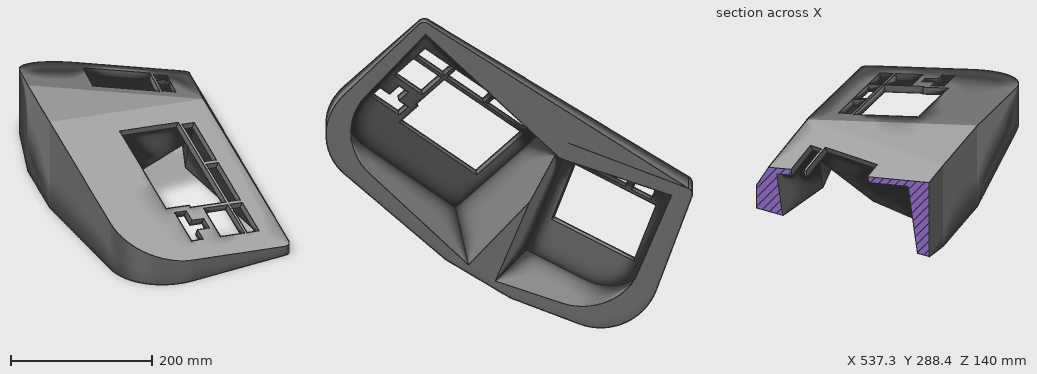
import cadquery as cq
import math


APEX = cq.Vector(57.0, 243.5, 108.0)
LEFT_FOLD = cq.Vector(0, 0.5, 140.0)
RIGHT_FOLD = cq.Vector(108.5, 0, 140.0)

PANEL_DEPTH = 251.5
LEFT_WIDTH = 202.0
RIGHT_WIDTH = 294.5
LEFT_ROLL = 18.8
RIGHT_ROLL = 18.9
FRONT_RADIUS = 90.0
BACK_RADIUS = 9.5

PLATE = 10.0
WALL = 12.0
FRONT_WALL = 35.0
FOLD_WALL = 17.0

DROP = 322.0
GROUND_SIZE = 2148.0

LEFT = -1
RIGHT = 1

SCREEN_BOTTOM = 96.5
SCREEN_TOP = 192.0
SLOT_BOTTOM = 196.5
SLOT_TOP = 216.0

LEFT_SCREEN = (34.5, 166.5)
LEFT_SLOTS = [(39.0, 115.0), (124.5, 157.0)]

RIGHT_SCREEN = (35.5, 196.0)
SCREEN_STEP = 4.5
SCREEN_STEP_TOP = 134.0
KEY_COLUMN = (201.5, 258.5)
RIGHT_SLOTS = [(40.5, 115.5), (121.0, 196.0), KEY_COLUMN]
KEYPAD_BOTTOM = 153.0
ARROW_BOTTOM = 106.0
ARROW_MIDDLE = 124.5
ARROW_TOP = 144.0
ARROW_STEM_WIDTH = 19.0

WINDOW_DEPTH = 1.05 * PLATE


def panel_plane(fold, side, roll):
    """Plane at the front fold corner: X points right, Y runs along the fold."""
    along = (APEX - fold).normalized()
    level = along.cross(cq.Vector(0, 0, 1)).normalized()
    up = level.cross(along)
    angle = math.radians(side * roll)
    across = level * math.cos(angle) - up * math.sin(angle)
    return cq.Plane(origin=fold, xDir=across, normal=across.cross(along))


def arc_inset(radius):
    """Distance from a square corner's sides to the middle of its rounding arc."""
    return radius * (1 - math.sqrt(0.5))


def drop_down(wire):
    """Solid swept straight down from a closed outline."""
    return cq.Workplane(cq.Solid.extrudeLinear(wire, [], cq.Vector(0, 0, -DROP)))


def prism(*corners):
    """Solid swept straight down from a polygon."""
    return drop_down(cq.Wire.makePolygon(corners, close=True))


def rounded_front(workplane, side, near, front, far, radius):
    """Start an outline: front edge from the fold outward, then the large corner."""
    mid = arc_inset(radius)
    return (
        workplane.moveTo(side * near, front)
        .lineTo(side * (far - radius), front)
        .threePointArc((side * (far - mid), front + mid), (side * far, front + radius))
    )


def panel_block(plane, side, width):
    """Panel outline with its rounded corners, swept down to form the skirt."""
    mid = arc_inset(BACK_RADIUS)
    outline = (
        rounded_front(cq.Workplane(plane), side, 0, 0, width, FRONT_RADIUS)
        .lineTo(side * width, PANEL_DEPTH - BACK_RADIUS)
        .threePointArc(
            (side * (width - mid), PANEL_DEPTH - mid),
            (side * (width - BACK_RADIUS), PANEL_DEPTH),
        )
        .lineTo(0, PANEL_DEPTH)
        .close()
    )
    return drop_down(outline.val())


def chamber(plane, side, width):
    """Hollow below a panel's plate, with walls square to the panel."""
    far = width - WALL
    back = PANEL_DEPTH - WALL
    underside = cq.Workplane(plane).workplane(offset=-PLATE)
    return (
        rounded_front(underside, side, FOLD_WALL, FRONT_WALL, far, FRONT_RADIUS - WALL)
        .lineTo(side * far, back)
        .lineTo(side * FOLD_WALL, back)
        .close()
        .extrude(-DROP)
    )


def window(plane, side, span, bottom, top):
    """Rectangular opening through the plate; span is measured outward from the fold."""
    near, far = span
    return (
        cq.Workplane(plane)
        .center(side * (near + far) / 2, (bottom + top) / 2)
        .rect(far - near, top - bottom)
        .extrude(-WINDOW_DEPTH)
    )


left = panel_plane(LEFT_FOLD, LEFT, LEFT_ROLL)
right = panel_plane(RIGHT_FOLD, RIGHT, RIGHT_ROLL)

left_back = left.toWorldCoords((LEFT * (LEFT_WIDTH - BACK_RADIUS), PANEL_DEPTH))
right_back = right.toWorldCoords((RIGHT * (RIGHT_WIDTH - BACK_RADIUS), PANEL_DEPTH))
body = (
    panel_block(left, LEFT, LEFT_WIDTH)
    .union(panel_block(right, RIGHT, RIGHT_WIDTH))
    .union(prism(LEFT_FOLD, RIGHT_FOLD, APEX))
    .union(prism(left_back, APEX, right_back))
)

cavity = chamber(left, LEFT, LEFT_WIDTH).union(chamber(right, RIGHT, RIGHT_WIDTH))

windows = [window(left, LEFT, LEFT_SCREEN, SCREEN_BOTTOM, SCREEN_TOP)]
for slot in LEFT_SLOTS:
    windows.append(window(left, LEFT, slot, SLOT_BOTTOM, SLOT_TOP))

for slot in RIGHT_SLOTS:
    windows.append(window(right, RIGHT, slot, SLOT_BOTTOM, SLOT_TOP))
screen_near, screen_far = RIGHT_SCREEN
narrow_screen = (screen_near, screen_far - SCREEN_STEP)
windows.append(window(right, RIGHT, RIGHT_SCREEN, SCREEN_STEP_TOP, SCREEN_TOP))
windows.append(window(right, RIGHT, narrow_screen, SCREEN_BOTTOM, SCREEN_STEP_TOP))

key_middle = sum(KEY_COLUMN) / 2
arrow_stem = (key_middle - ARROW_STEM_WIDTH / 2, key_middle + ARROW_STEM_WIDTH / 2)
windows.append(window(right, RIGHT, KEY_COLUMN, KEYPAD_BOTTOM, SCREEN_TOP))
windows.append(window(right, RIGHT, KEY_COLUMN, ARROW_BOTTOM, ARROW_MIDDLE))
windows.append(window(right, RIGHT, arrow_stem, ARROW_MIDDLE, ARROW_TOP))

ground = (
    cq.Workplane("XY")
    .box(GROUND_SIZE, GROUND_SIZE, 2 * DROP, centered=(True, True, False))
    .translate((0, 0, -2 * DROP))
)

result = body.cut(cavity)
for opening in windows:
    result = result.cut(opening)
result = result.cut(ground)